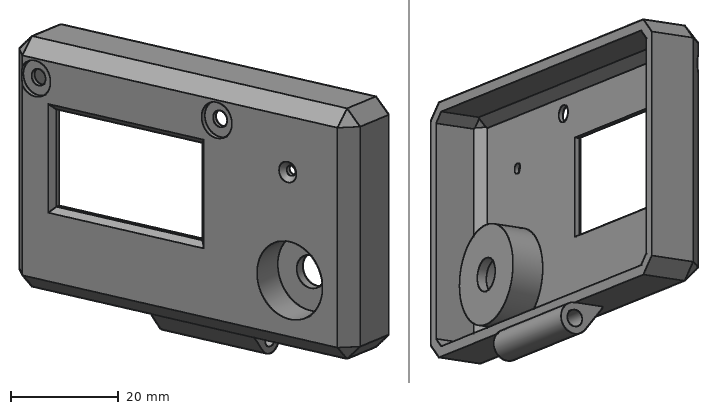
import cadquery as cq
import math

length = 79.0
height = 49.0
depth = 12.0
chamfer = 3.0
wall = 2.0

window_width = 33.8
window_height = 19.0
window_x = -12.5
window_z = 27.0
window_bevel = 1.1
window_bevel_depth = 1.0

screw_xs = (-33.5, 8.5)
screw_z = 42.0
screw_hole_diameter = 3.2
counterbore_diameter = 7.0
counterbore_depth = 1.0

indicator_x = 25.0
indicator_z = 35.1
indicator_hole_diameter = 2.0
countersink_diameter = 4.0
countersink_depth = 1.0

knob_x = 25.4
knob_z = 14.0
knob_recess_diameter = 15.2
knob_recess_depth = 6.5
knob_hole_diameter = 6.4

hinge_length = 24.0
hinge_diameter = 6.0
hinge_hole_diameter = 3.2
hinge_root_y = 5.9
hinge_lip = 0.2


def cylinder(x, z, diameter, start_y, end_y):
    """Cylinder along +Y between two depths."""
    return cq.Workplane(cq.Solid.makeCylinder(
        diameter / 2, end_y - start_y, cq.Vector(x, start_y, z), cq.Vector(0, 1, 0)))


def make_shell():
    """Box with chamfered front rim and four corners, hollowed from the back."""
    outer = (
        cq.Workplane("XY")
        .box(length, depth, height, centered=(True, False, False))
        .edges("|Y or <Y")
        .chamfer(chamfer)
    )
    return outer.faces(">Y").shell(-wall)


def make_hinge():
    """Round knuckle joined to the bottom by a web with a tangent sloping face."""
    radius = hinge_diameter / 2
    centre_y = depth
    centre_z = -radius
    offset_y = hinge_root_y - centre_y
    offset_z = -hinge_lip - centre_z
    tangent_angle = math.atan2(offset_z, offset_y) + math.acos(radius / math.hypot(offset_y, offset_z))
    tangent_y = centre_y + radius * math.cos(tangent_angle)
    tangent_z = centre_z + radius * math.sin(tangent_angle)
    web_and_knuckle = (
        cq.Workplane("YZ")
        .moveTo(hinge_root_y, 0)
        .lineTo(hinge_root_y, -hinge_lip)
        .lineTo(tangent_y, tangent_z)
        .threePointArc((centre_y + radius, centre_z), (centre_y, 0))
        .close()
        .extrude(hinge_length / 2, both=True)
    )
    pin_hole = (
        cq.Workplane("YZ")
        .center(centre_y, centre_z)
        .circle(hinge_hole_diameter / 2)
        .extrude(hinge_length / 2, both=True)
    )
    return web_and_knuckle.cut(pin_hole)


def make_window():
    """Rectangular opening with a bevelled front edge."""
    opening = cq.Workplane("XY").box(window_width, 2 * wall, window_height)
    bevel = (
        cq.Workplane("XZ")
        .rect(window_width + 2 * window_bevel, window_height + 2 * window_bevel)
        .workplane(offset=-window_bevel_depth)
        .rect(window_width, window_height)
        .loft(ruled=True)
    )
    return opening.union(bevel).translate((window_x, 0, window_z))


def make_screw_hole(x):
    """Through hole with a shallow counterbore."""
    hole = cylinder(x, screw_z, screw_hole_diameter, 0, wall + chamfer)
    return hole.union(cylinder(x, screw_z, counterbore_diameter, -wall, counterbore_depth))


def make_indicator_hole():
    """Small through hole with a conical mouth."""
    cone = cq.Workplane(cq.Solid.makeCone(
        countersink_diameter / 2, indicator_hole_diameter / 2, countersink_depth,
        cq.Vector(indicator_x, 0, indicator_z), cq.Vector(0, 1, 0)))
    return cone.union(cylinder(indicator_x, indicator_z, indicator_hole_diameter, 0, wall))


def add_knob_recess(body):
    """Cup for the knob with a shaft hole through its floor."""
    cup_depth = knob_recess_depth + wall
    cup = cylinder(knob_x, knob_z, knob_recess_diameter + 2 * wall, 0, cup_depth)
    recess = cylinder(knob_x, knob_z, knob_recess_diameter, 0, knob_recess_depth)
    shaft_hole = cylinder(knob_x, knob_z, knob_hole_diameter, 0, cup_depth)
    return body.union(cup).cut(recess).cut(shaft_hole)


result = make_shell().union(make_hinge())
result = add_knob_recess(result)
result = result.cut(make_window()).cut(make_indicator_hole())
for screw_x in screw_xs:
    result = result.cut(make_screw_hole(screw_x))